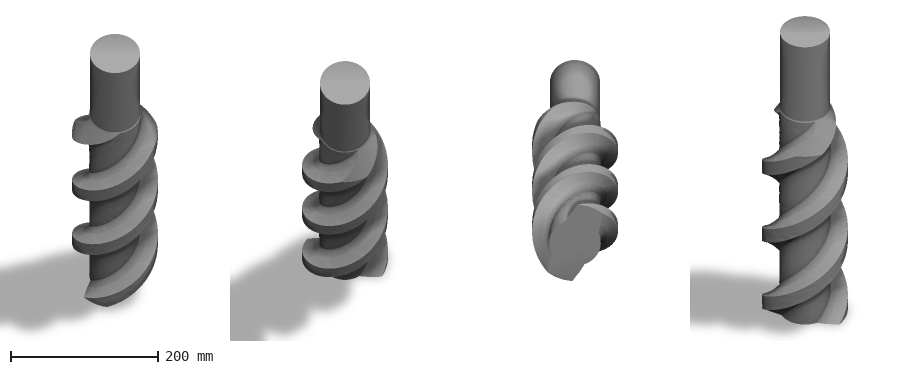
import cadquery as cq
import math

total_length = 480.0
auger_length = 351.5
shank_diameter = 68.0
core_diameter = 70.0
outer_diameter = 116.5
root_width = 48.0
knee_width = 44.5
tip_width = 36.0
knee_y = 37.5
twist_angle = 540.0
shoulder_angle = 30.0
envelope_clearance = 5.0

shank_radius = shank_diameter / 2
core_radius = core_diameter / 2
outer_radius = outer_diameter / 2
root_half_width = root_width / 2
knee_half_width = knee_width / 2
tip_half_width = tip_width / 2


def auger_section():
    """Round core with two opposite lobes along Y that narrow towards their tips."""
    root_y = math.sqrt(core_radius**2 - root_half_width**2)
    tip_y = math.sqrt(outer_radius**2 - tip_half_width**2)

    section = cq.Workplane("XY").moveTo(root_half_width, -root_y)
    for side in (1, -1):
        section = (
            section.threePointArc((side * core_radius, 0), (side * root_half_width, side * root_y))
            .lineTo(side * knee_half_width, side * knee_y)
            .lineTo(side * tip_half_width, side * tip_y)
            .threePointArc((0, side * outer_radius), (-side * tip_half_width, side * tip_y))
            .lineTo(-side * knee_half_width, side * knee_y)
            .lineTo(-side * root_half_width, side * root_y)
        )
    return section.close()


def shoulder_envelope():
    """Cylinder around the auger whose top tapers conically to the shank."""
    clear_radius = outer_radius + envelope_clearance
    taper_height = (clear_radius - shank_radius) / math.tan(math.radians(shoulder_angle))
    return (
        cq.Workplane("XZ")
        .lineTo(clear_radius, 0)
        .lineTo(clear_radius, auger_length - taper_height)
        .lineTo(shank_radius, auger_length)
        .lineTo(0, auger_length)
        .close()
        .revolve(360, (0, 0, 0), (0, 1, 0))
    )


auger = auger_section().twistExtrude(auger_length, twist_angle).intersect(shoulder_envelope())
shank = (
    cq.Workplane("XY")
    .workplane(offset=auger_length)
    .circle(shank_radius)
    .extrude(total_length - auger_length)
)

result = auger.union(shank)